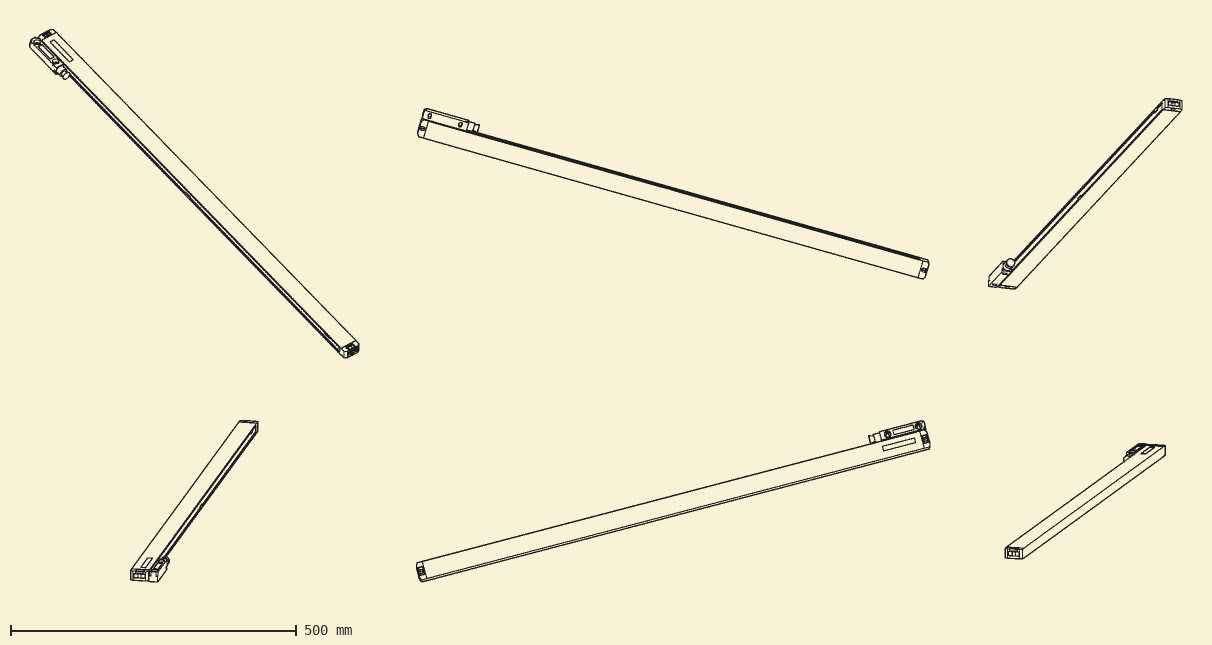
import cadquery as cq

length = 925.0
depth = 49.0
height = 18.0
mid_z = height / 2

beam_depth = 32.0
beam_front_y = depth - beam_depth
beam_mid_y = beam_front_y + beam_depth / 2
cap_length = 12.0
cap_step = 0.5
cap_chamfer_x = 3.0
cap_chamfer_y = 5.0

mount_slot_x = 5.5
mount_slot_length = 8.5
mount_slot_width = 6.4
mount_pocket_length = 9.0
mount_pocket_width = 14.0
mount_pocket_depth = 4.0
end_recess_width = 20.0
end_recess_height = 7.4
end_recess_depth = 3.0

recess_end_gap = 18.0
recess_depth = 1.5
lip_height = 3.0

tab_length = 15.5
tab_drop = 2.5
upper_tab_x = 870.5
lower_tab_x = 450.5

label_start_x = 24.0
label_length = 58.0
label_width = 8.5
label_depth = 0.5
label_offset_y = -2.0

head_length = 80.5
head_depth = 15.5
head_mid_y = head_depth / 2
head_hole_x = (11.5, 67.5)
head_slot_width = 5.5
head_slot_length = 8.5
head_bore_diameter = 11.5
head_bore_depth = 7.5
corner_notch_length = 3.0
corner_notch_width = 3.4
corner_notch_height = 7.5
window_start_x = 20.5
window_length = 36.5
window_width = 8.4
window_depth = 1.0
notch_length = 6.5
notch_height = 3.0
notch_bottom_z = 2.2
notch_depth = 1.0

collar_diameter = head_depth
collar_length = 11.0
sleeve_start_diameter = 9.5
sleeve_end_diameter = 15.0
sleeve_length = 8.5


def box(x, y, z, dx, dy, dz):
    """Block with its lowest corner at (x, y, z)."""
    return cq.Workplane("XY").box(dx, dy, dz, centered=False).translate((x, y, z))


def end_cap():
    """Left-hand mounting cap, with its outer end at x = 0."""
    cap = (
        cq.Workplane("XY").workplane(offset=cap_step)
        .moveTo(cap_length, beam_front_y)
        .lineTo(cap_chamfer_x, beam_front_y)
        .lineTo(0, beam_front_y + cap_chamfer_y)
        .lineTo(0, depth - cap_chamfer_y)
        .lineTo(cap_chamfer_x, depth)
        .lineTo(cap_length, depth)
        .close()
        .extrude(height - 2 * cap_step)
    )
    mount_slot = (
        cq.Workplane("XY").center(mount_slot_x, beam_mid_y)
        .slot2D(mount_slot_length, mount_slot_width).extrude(height)
    )
    pocket = box(mount_slot_x - mount_pocket_length / 2, beam_mid_y - mount_pocket_width / 2,
                 height - mount_pocket_depth,
                 mount_pocket_length, mount_pocket_width, mount_pocket_depth)
    end_recess = box(0, beam_mid_y - end_recess_width / 2, mid_z - end_recess_height / 2,
                     end_recess_depth, end_recess_width, end_recess_height)
    return cap.cut(mount_slot).cut(pocket).cut(end_recess)


def lip_tab(x, z):
    """Block left standing in the front recess, centred on x, with its underside at z."""
    return box(x - tab_length / 2, beam_front_y, z, tab_length, recess_depth, tab_drop)


def front_recess():
    recess = box(recess_end_gap, beam_front_y, lip_height,
                 length - 2 * recess_end_gap, recess_depth, height - 2 * lip_height)
    upper_tab = lip_tab(upper_tab_x, height - lip_height - tab_drop)
    lower_tab = lip_tab(lower_tab_x, lip_height)
    return recess.cut(upper_tab).cut(lower_tab)


def make_scale_unit():
    beam = box(cap_length, beam_front_y, 0, length - 2 * cap_length, beam_depth, height)
    label = box(label_start_x, beam_mid_y + label_offset_y - label_width / 2, height - label_depth,
                label_length, label_width, label_depth)
    cap = end_cap()
    far_cap = cap.mirror("YZ").translate((length, 0, 0))
    return beam.union(cap).union(far_cap).cut(front_recess()).cut(label)


def head_mounting_hole(x):
    """Slotted through hole with a round counterbore from the top."""
    slot = (
        cq.Workplane("XY").center(x, head_mid_y)
        .slot2D(head_slot_length, head_slot_width, 90).extrude(height)
    )
    bore = (
        cq.Workplane("XY").workplane(offset=height - head_bore_depth).center(x, head_mid_y)
        .circle(head_bore_diameter / 2).extrude(head_bore_depth)
    )
    return slot.union(bore)


def cable_outlet():
    sleeve_start_x = head_length + collar_length
    collar = (
        cq.Workplane("YZ").workplane(offset=head_length).center(head_mid_y, mid_z)
        .circle(collar_diameter / 2).extrude(collar_length)
    )
    sleeve = (
        cq.Workplane("YZ").workplane(offset=sleeve_start_x).center(head_mid_y, mid_z)
        .circle(sleeve_start_diameter / 2)
        .workplane(offset=sleeve_length)
        .circle(sleeve_end_diameter / 2)
        .loft()
    )
    return collar.union(sleeve)


def make_reading_head():
    head = box(0, 0, 0, head_length, head_depth, height)
    window = box(window_start_x, head_mid_y - window_width / 2, height - window_depth,
                 window_length, window_width, window_depth)
    notch = box(head_length - notch_length, 0, notch_bottom_z, notch_length, notch_depth, notch_height)
    head = head.cut(window).cut(notch)
    for y in (0, head_depth - corner_notch_width):
        head = head.cut(box(0, y, height - corner_notch_height,
                            corner_notch_length, corner_notch_width, corner_notch_height))
    for x in head_hole_x:
        head = head.cut(head_mounting_hole(x))
    return head.union(cable_outlet())


scale_unit = make_scale_unit()
reading_head = make_reading_head()
result = cq.Compound.makeCompound([scale_unit.val(), reading_head.val()])